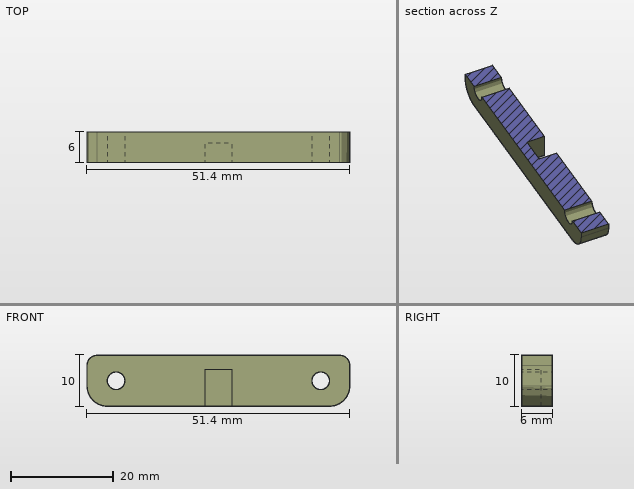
import cadquery as cq

length = 51.4
thickness = 6.0
height = 10.0
top_corner_radius = 2.0
bottom_corner_radius = 4.0

hole_diameter = 3.4
hole_spacing = 40.0

pocket_width = 5.3
pocket_height = 7.2
pocket_depth = 3.8


def make_bar():
    bar = cq.Workplane("XY").box(length, thickness, height)
    bar = bar.edges("|Y and >Z").fillet(top_corner_radius)
    return bar.edges("|Y and <Z").fillet(bottom_corner_radius)


def make_holes():
    return (
        cq.Workplane("XZ")
        .pushPoints([(-hole_spacing / 2, 0), (hole_spacing / 2, 0)])
        .circle(hole_diameter / 2)
        .extrude(thickness / 2, both=True)
    )


def make_pocket():
    pocket = cq.Workplane("XY").box(pocket_width, pocket_depth, pocket_height)
    y_center = (pocket_depth - thickness) / 2
    z_center = (pocket_height - height) / 2
    return pocket.translate((0, y_center, z_center))


result = make_bar().cut(make_holes()).cut(make_pocket())